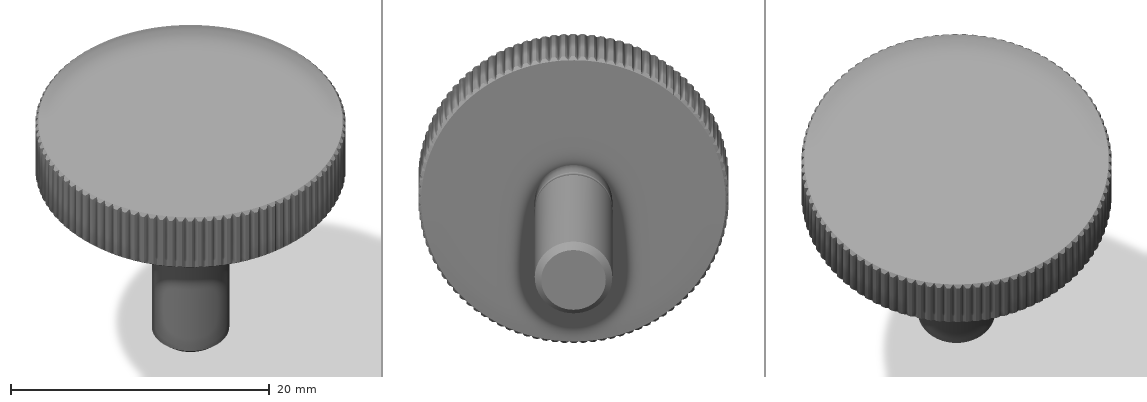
import cadquery as cq
import math

head_width = 24
head_height = 5.0
head_chamfer = 0.25
tooth_count = 100
groove_depth = 0.25
groove_width = 2 * groove_depth

overall_height = 21.0
shank_diameter = 6
neck_length = 1.5
shank_chamfer = 0.5

head_radius = math.hypot(head_width / 2, groove_width / 2)
shank_radius = shank_diameter / 2
cone_radius = shank_radius - shank_chamfer
head_bottom = overall_height - head_height
neck_bottom = head_bottom - neck_length
shank_top = neck_bottom - shank_chamfer


def polar(radius, angle):
    return (radius * math.cos(angle), radius * math.sin(angle))


def make_knurl_prism():
    """Prism with round-topped teeth and V grooves, one groove centred on +X."""
    pitch = 2 * math.pi / tooth_count
    half_groove = math.asin(groove_width / 2 / head_radius)
    outline = cq.Workplane("XY").workplane(offset=head_bottom).moveTo(*polar(head_radius, half_groove))
    for tooth in range(tooth_count):
        tooth_middle = (tooth + 0.5) * pitch
        next_groove = (tooth + 1) * pitch
        outline = (
            outline.threePointArc(
                polar(head_radius, tooth_middle), polar(head_radius, next_groove - half_groove)
            )
            .lineTo(*polar(head_radius - groove_depth, next_groove))
            .lineTo(*polar(head_radius, next_groove + half_groove))
        )
    return outline.close().extrude(head_height)


def make_head():
    """Knurled disc with both rims bevelled through the teeth."""
    bevelled_disc = (
        cq.Workplane("XY")
        .workplane(offset=head_bottom)
        .circle(head_radius)
        .extrude(head_height)
        .edges()
        .chamfer(head_chamfer)
    )
    return make_knurl_prism().intersect(bevelled_disc)


def make_shank():
    """Revolved neck, cone and shank with a bevelled tip."""
    return (
        cq.Workplane("XZ")
        .moveTo(0, 0)
        .lineTo(cone_radius, 0)
        .lineTo(shank_radius, shank_chamfer)
        .lineTo(shank_radius, shank_top)
        .lineTo(cone_radius, shank_top)
        .lineTo(shank_radius, neck_bottom)
        .lineTo(shank_radius, head_bottom)
        .lineTo(0, head_bottom)
        .close()
        .revolve(360, (0, 0, 0), (0, 1, 0))
    )


result = make_head().union(make_shank())